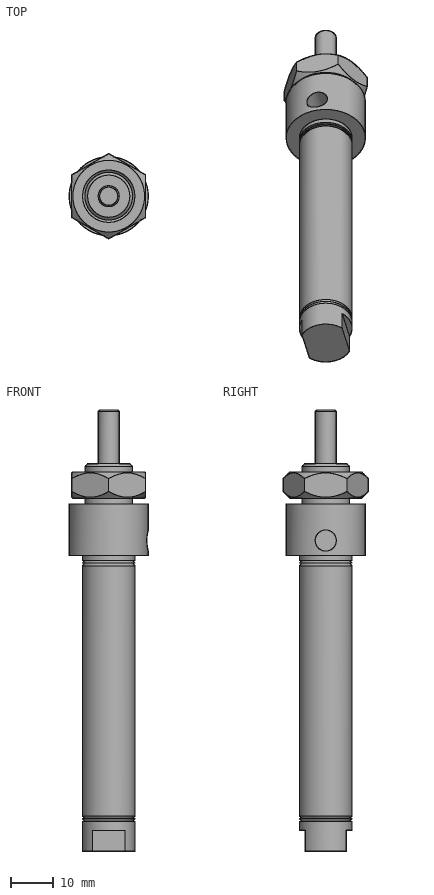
import cadquery as cq


flat_top = 5.0
rear_teeth_bottom = 7.15
front_teeth_bottom = 67.7
head_bottom = 70.1
head_top = 82.4
nut_bottom = 83.7
nut_top = 90.0
nose_top = 91.9
rod_top = 104.65

tube_diameter = 12.5
head_diameter = 18.8
nose_diameter = 11.3
nose_chamfer = 0.65
flat_spacing = 9.8
tooth_height = 0.63
tooth_depth = 0.5
teeth_per_band = 2

port_diameter = 5.0
port_depth = 5.0
port_height = 73.7

rod_diameter = 5.0
rod_chamfer = 0.35

nut_corners = 20.24
nut_face_diameter = 17.0
nut_countersink_diameter = 12.4
nut_height = nut_top - nut_bottom
nut_corner_chamfer = (nut_corners - nut_face_diameter) / 2
nut_countersink = (nut_countersink_diameter - nose_diameter) / 2


def cylinder(diameter, bottom, top):
    return cq.Workplane("XY").workplane(offset=bottom).circle(diameter / 2).extrude(top - bottom)


def tooth_groove(wide_end, narrow_end):
    """Ring that cuts the tube to a cone, full width at wide_end and narrowest at narrow_end."""
    radius = tube_diameter / 2
    return (
        cq.Workplane("XZ")
        .polyline([(radius, wide_end), (radius, narrow_end), (radius - tooth_depth, narrow_end)])
        .close()
        .revolve(360, (0, 0, 0), (0, 1, 0))
    )


def cut_crimp_teeth(body):
    """Sawtooth bands near both ends of the tube, the two bands sloping opposite ways."""
    for index in range(teeth_per_band):
        rear_low = rear_teeth_bottom + index * tooth_height
        front_low = front_teeth_bottom + index * tooth_height
        body = body.cut(tooth_groove(rear_low + tooth_height, rear_low))
        body = body.cut(tooth_groove(front_low, front_low + tooth_height))
    return body


def cut_wrench_flats(body):
    """Two parallel flats at the bottom end, facing -Y and +Y."""
    end_blank = cylinder(head_diameter, 0, flat_top)
    between_flats = cq.Workplane("XY").rect(head_diameter, flat_spacing).extrude(flat_top)
    return body.cut(end_blank.cut(between_flats))


def cut_port(body):
    port = (
        cq.Workplane("YZ", origin=(head_diameter / 2, 0, port_height))
        .circle(port_diameter / 2)
        .extrude(-port_depth)
    )
    return body.cut(port)


def make_body():
    nose = cylinder(nose_diameter, head_top, nose_top).faces(">Z").chamfer(nose_chamfer)
    tube = cylinder(tube_diameter, 0, head_bottom)
    head = cylinder(head_diameter, head_bottom, head_top)
    body = cut_crimp_teeth(tube).union(head).union(nose)
    return cut_port(cut_wrench_flats(body))


def make_rod():
    """Piston rod standing on the end face of the nose."""
    return cylinder(rod_diameter, nose_top, rod_top).faces(">Z").chamfer(rod_chamfer)


def make_nut():
    """Hexagon nut, its corners turned off at 45 degrees and its bore countersunk at both ends."""
    hexagon = (
        cq.Workplane("XY")
        .workplane(offset=nut_bottom)
        .polygon(6, nut_corners)
        .extrude(nut_height)
        .rotate((0, 0, 0), (0, 0, 1), 90)
    )
    turned_blank = cylinder(nut_corners, nut_bottom, nut_top).faces("<Z or >Z").chamfer(nut_corner_chamfer)
    bore = cylinder(nose_diameter, nut_bottom, nut_top)
    nut = hexagon.intersect(turned_blank).cut(bore)
    bore_rims = cq.selectors.RadiusNthSelector(0)
    return nut.faces("<Z or >Z").edges(bore_rims).chamfer(nut_countersink)


cylinder_body = make_body()
piston_rod = make_rod()
mounting_nut = make_nut()

result = cq.Compound.makeCompound([cylinder_body.val(), piston_rod.val(), mounting_nut.val()])